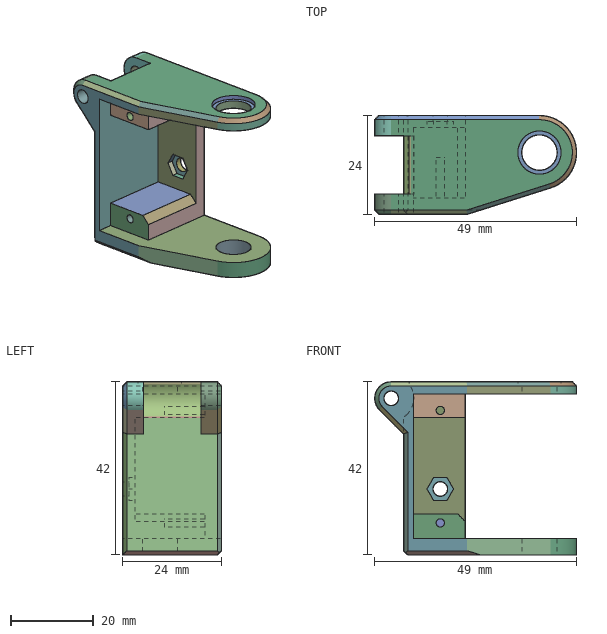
import cadquery as cq
import math

LENGTH = 48.95
WIDTH = 24.0
HEIGHT = 42.0
EDGE_CHAMFER = 1.05

WALL_LEFT = 7.0
WALL_THICKNESS = 2.45
TOP_ARM = 3.0
BOTTOM_ARM = 4.0
TAPER_START = 22.5
END_RADIUS = 9.0
PIVOT_BORE = 8.5
PIVOT_RECESS = 10.5
RECESS_DEPTH = 1.0

BACK_RIGHT = 22.0
BACK_THICKNESS = 3.0
BLOCK_FRONT = 4.0
UPPER_BLOCK_BOTTOM = 33.4
LOWER_BLOCK_TOP = 10.0
BLOCK_CHAMFER = 1.85
FASTENER_X = 15.9
SCREW_HOLE = 2.0
SCREW_DEPTH = 9.8
SCREW_HEIGHTS = (7.8, 35.05)
BOLT_HOLE = 3.5
BOLT_HEIGHT = 16.0
NUT_FLATS = 5.6
NUT_DEPTH = 1.45

LUG_RADIUS = 4.0
LUG_WIDTH = 5.0
LUG_RIGHT = 8.95
PIN_HOLE = 3.5
RELIEF_RADIUS = 5.5
RELIEF_FILLET = 0.5

WALL_RIGHT = WALL_LEFT + WALL_THICKNESS
ARM_GAP_TOP = HEIGHT - TOP_ARM
BACK_FRONT = WIDTH - BACK_THICKNESS
PIVOT_X = LENGTH - END_RADIUS
PIVOT_Y = WIDTH - END_RADIUS
LUG_X = LUG_RADIUS
LUG_Z = HEIGHT - LUG_RADIUS


def box(x0, x1, y0, y1, z0, z1):
    """Box between the given limits."""
    return cq.Workplane("XY").box(x1 - x0, y1 - y0, z1 - z0, centered=False).translate((x0, y0, z0))


def rod(x, z, diameter, y0, y1):
    """Cylinder along Y between y0 and y1."""
    profile = cq.Workplane("XZ", origin=(x, y0, z)).circle(diameter / 2)
    return profile.extrude(y0 - y1)


def outer_body():
    """Full-height prism with a straight back, a tapered front and a round end."""
    run = PIVOT_X - TAPER_START
    distance = math.hypot(run, PIVOT_Y)
    taper_angle = math.asin(END_RADIUS / distance) - math.atan2(PIVOT_Y, run)
    tangent_x = PIVOT_X + END_RADIUS * math.sin(-taper_angle)
    tangent_y = PIVOT_Y - END_RADIUS * math.cos(taper_angle)
    body = (
        cq.Workplane("XY")
        .moveTo(WALL_LEFT, 0)
        .lineTo(TAPER_START, 0)
        .lineTo(tangent_x, tangent_y)
        .threePointArc((LENGTH, PIVOT_Y), (PIVOT_X, WIDTH))
        .lineTo(WALL_LEFT, WIDTH)
        .close()
        .extrude(HEIGHT)
    )
    rim = body.faces(">Z").edges("not <X").vals()
    wall_edges = body.faces("<X").edges("|Z or <Z").vals()
    body = body.newObject(rim + wall_edges).chamfer(EDGE_CHAMFER)

    bevel = (
        cq.Workplane("YZ")
        .polyline([(0, 0), (EDGE_CHAMFER, 0), (0, EDGE_CHAMFER)])
        .close()
        .extrude(LENGTH)
    )
    return body.cut(bevel)


def mounting_block(z0, z1):
    """Block standing forward from the back plate."""
    return box(WALL_RIGHT, BACK_RIGHT, BLOCK_FRONT, WIDTH, z0, z1)


def add_interior(body):
    """Open the space between the arms, then add the back plate and blocks."""
    body = body.cut(box(WALL_RIGHT, LENGTH, 0, WIDTH, BOTTOM_ARM, ARM_GAP_TOP))
    back = box(WALL_RIGHT, BACK_RIGHT, BACK_FRONT, WIDTH, BOTTOM_ARM, ARM_GAP_TOP)
    lower = mounting_block(BOTTOM_ARM, LOWER_BLOCK_TOP)
    lower = lower.edges(">X and >Z").chamfer(BLOCK_CHAMFER)
    upper = mounting_block(UPPER_BLOCK_BOTTOM, ARM_GAP_TOP)
    return body.union(lower).union(upper).union(back)


def cut_fastener_holes(body):
    """Blind screw holes in the blocks, and a bolt hole with a nut pocket."""
    for height in SCREW_HEIGHTS:
        body = body.cut(rod(FASTENER_X, height, SCREW_HOLE, BLOCK_FRONT, BLOCK_FRONT + SCREW_DEPTH))
    nut = (
        cq.Workplane("XZ", origin=(FASTENER_X, BACK_FRONT, BOLT_HEIGHT))
        .polygon(6, NUT_FLATS / math.cos(math.pi / 6))
        .extrude(-NUT_DEPTH)
    )
    return body.cut(nut).cut(rod(FASTENER_X, BOLT_HEIGHT, BOLT_HOLE, BACK_FRONT, WIDTH))


def cut_pivot(body):
    """Bore both arms and recess the top of the upper arm."""
    axis = cq.Workplane("XY").center(PIVOT_X, PIVOT_Y)
    bore = axis.circle(PIVOT_BORE / 2).extrude(HEIGHT)
    recess = axis.workplane(offset=HEIGHT - RECESS_DEPTH).circle(PIVOT_RECESS / 2).extrude(RECESS_DEPTH)
    return body.cut(bore).cut(recess)


def cut_relief(body):
    """Round relief in the wall, concentric with the hinge pin, with softened lips."""
    y0 = LUG_WIDTH
    y1 = WIDTH - LUG_WIDTH
    body = body.cut(rod(LUG_X, LUG_Z, 2 * RELIEF_RADIUS, y0, y1))
    top_lip_x = LUG_X + math.sqrt(RELIEF_RADIUS**2 - LUG_RADIUS**2)
    bottom_lip_z = LUG_Z - math.sqrt(RELIEF_RADIUS**2 - (WALL_LEFT - LUG_X) ** 2)
    for x, z in ((top_lip_x, HEIGHT), (WALL_LEFT, bottom_lip_z)):
        lip = cq.selectors.NearestToPointSelector((x, WIDTH / 2, z))
        body = body.edges("|Y").edges(lip).fillet(RELIEF_FILLET)
    return body


def hinge_lug(y0, outer_side):
    """Lug with a 45 degree underside, bevelled round its outer side."""
    diagonal = LUG_RADIUS * math.sqrt(0.5)
    tangent_x = LUG_X - diagonal
    tangent_z = LUG_Z - diagonal
    lug = (
        cq.Workplane("XZ", origin=(0, y0, 0))
        .moveTo(LUG_RIGHT, HEIGHT)
        .lineTo(LUG_X, HEIGHT)
        .threePointArc((0, LUG_Z), (tangent_x, tangent_z))
        .lineTo(LUG_RIGHT, tangent_z - (LUG_RIGHT - tangent_x))
        .close()
        .extrude(-LUG_WIDTH)
    )
    lug = lug.faces(outer_side).edges("not >X").chamfer(EDGE_CHAMFER)
    return lug.cut(rod(LUG_X, LUG_Z, PIN_HOLE, y0, y0 + LUG_WIDTH))


result = add_interior(outer_body())
result = cut_pivot(cut_fastener_holes(result))
result = cut_relief(result)
result = result.union(hinge_lug(0, "<Y")).union(hinge_lug(WIDTH - LUG_WIDTH, ">Y"))